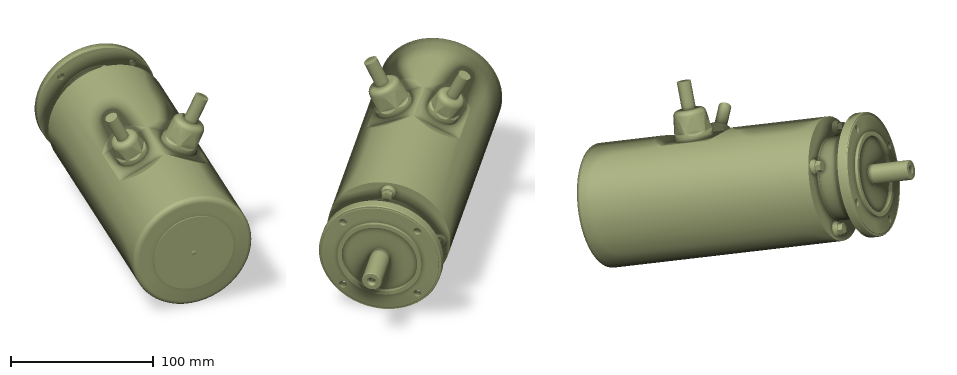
import cadquery as cq
import math

pilot_front_x = 27.2
flange_front_x = 29.5
flange_back_x = 36.2
housing_front_x = 58.8
housing_back_x = 239.5
rear_boss_back_x = 240.3
overall_length = 241.0

housing_radius = 88.0 / 2
housing_rear_fillet = 3.5
flange_radius = housing_radius
rim_groove_inner_radius = 42.0
rim_groove_outer_radius = 43.6
rim_groove_depth = 0.7
neck_radius = 59.0 / 2
neck_collar_length = 1.5
pilot_radius = 60.0 / 2
pilot_recess_radius = 54.0 / 2
pilot_recess_depth = 3.0
rear_boss_radius = neck_radius
rear_tip_radius = 3.4 / 2

shaft_radius = 14.0 / 2
shaft_chamfer = 0.5
shaft_collar_radius = 15.0 / 2
shaft_collar_height = 0.7
centre_mouth_radius = 6.7 / 2
centre_counterbore_radius = 4.5 / 2
centre_drill_radius = 3.4 / 2
centre_cone_depth = 1.7
centre_counterbore_depth = 3.5
centre_drill_depth = 9.6

flange_hole_diameter = 5.5
flange_hole_circle_radius = 75.2 / 2
screw_circle_radius = 36.5
screw_head_front_x = 51.8
screw_collar_front_x = 55.5
screw_cone_front_x = 56.2
screw_rim_front_x = 57.4
screw_head_across_flats = 6.7
screw_collar_radius = 9.0 / 2
screw_rim_radius = 10.8 / 2

gland_x = 160.0
gland_tilt = 25.0
seat_height = 40.2
seat_length = 36.2
seat_ramp_angle = 20.0

hex_ledge_height = 5.0


def revolve_about_x(outline):
    """Turn a closed (x, radius) outline around the motor axis."""
    return outline.close().revolve(360, (0, 0, 0), (1, 0, 0))


def cylinder_x(x_start, x_end, radius):
    return cq.Workplane("YZ").workplane(offset=x_start).circle(radius).extrude(x_end - x_start)


def make_shaft_blank():
    """Plain shaft with a small tip chamfer, running into the flange."""
    return cylinder_x(0, flange_back_x, shaft_radius).faces("<X").chamfer(shaft_chamfer)


def make_centre_hole():
    """Countersunk, stepped centre hole in the shaft tip."""
    drill_tip_x = centre_drill_depth + centre_drill_radius
    outline = (
        cq.Workplane("XY")
        .lineTo(0, centre_mouth_radius)
        .lineTo(centre_cone_depth, centre_counterbore_radius)
        .lineTo(centre_counterbore_depth, centre_counterbore_radius)
        .lineTo(centre_counterbore_depth, centre_drill_radius)
        .lineTo(centre_drill_depth, centre_drill_radius)
        .lineTo(drill_tip_x, 0)
    )
    return revolve_about_x(outline)


def make_housing():
    """Round housing, rear boss and small conical rear tip."""
    housing = cylinder_x(housing_front_x, housing_back_x, housing_radius)
    housing = housing.faces(">X").edges().fillet(housing_rear_fillet)
    rear_boss = cylinder_x(housing_back_x, rear_boss_back_x, rear_boss_radius)
    rear_tip = revolve_about_x(
        cq.Workplane("XY")
        .moveTo(rear_boss_back_x, 0)
        .lineTo(rear_boss_back_x, rear_tip_radius)
        .lineTo(overall_length, 0)
    )
    return housing.union(rear_boss).union(rear_tip)


def make_front_end():
    """Pilot, mounting flange and neck, with a raised collar at each end of the neck."""
    groove_floor_x = flange_front_x + rim_groove_depth
    outline = (
        cq.Workplane("XY")
        .moveTo(pilot_front_x, 0)
        .lineTo(pilot_front_x, pilot_radius)
        .lineTo(flange_front_x, pilot_radius)
        .lineTo(flange_front_x, rim_groove_inner_radius)
        .lineTo(groove_floor_x, rim_groove_inner_radius)
        .lineTo(groove_floor_x, rim_groove_outer_radius)
        .lineTo(flange_front_x, rim_groove_outer_radius)
        .lineTo(groove_floor_x, flange_radius)
        .lineTo(flange_back_x, flange_radius)
        .lineTo(flange_back_x, pilot_radius)
        .lineTo(flange_back_x + neck_collar_length, pilot_radius)
        .lineTo(flange_back_x + neck_collar_length, neck_radius)
        .lineTo(housing_front_x - neck_collar_length, neck_radius)
        .lineTo(housing_front_x - neck_collar_length, pilot_radius)
        .lineTo(housing_front_x, pilot_radius)
        .lineTo(housing_front_x, 0)
    )
    front_end = revolve_about_x(outline)
    floor_x = pilot_front_x + pilot_recess_depth
    recess = cylinder_x(pilot_front_x, floor_x, pilot_recess_radius)
    shaft_collar = cylinder_x(floor_x - shaft_collar_height, floor_x, shaft_collar_radius)
    flange_holes = (
        cq.Workplane("YZ")
        .workplane(offset=flange_front_x)
        .polarArray(flange_hole_circle_radius, 45, 360, 4)
        .circle(flange_hole_diameter / 2)
        .extrude(flange_back_x - flange_front_x)
    )
    return front_end.cut(recess).cut(flange_holes).union(shaft_collar)


def make_screw():
    """Flanged hex screw on the motor axis; a head corner points to +Y."""
    across_corners = screw_head_across_flats / math.cos(math.radians(30))
    head = (
        cq.Workplane("YZ")
        .workplane(offset=screw_head_front_x)
        .polygon(6, across_corners)
        .extrude(screw_collar_front_x - screw_head_front_x)
    )
    washer_outline = (
        cq.Workplane("XY")
        .moveTo(screw_collar_front_x, 0)
        .lineTo(screw_collar_front_x, screw_collar_radius)
        .lineTo(screw_cone_front_x, screw_collar_radius)
        .lineTo(screw_rim_front_x, screw_rim_radius)
        .lineTo(housing_front_x, screw_rim_radius)
        .lineTo(housing_front_x, 0)
    )
    return head.union(revolve_about_x(washer_outline))


def make_gland_seat_cutter():
    """Flat seat with a ramp at each end, cut across the top of the housing."""
    seat_depth = housing_radius - seat_height
    ramp_run = seat_depth / math.tan(math.radians(seat_ramp_angle))
    half_floor = seat_length / 2
    half_mouth = half_floor + ramp_run
    return (
        cq.Workplane("XZ", origin=(gland_x, 0, 0))
        .moveTo(-half_floor, seat_height)
        .lineTo(half_floor, seat_height)
        .lineTo(half_mouth, housing_radius)
        .lineTo(-half_mouth, housing_radius)
        .close()
        .extrude(housing_radius, both=True)
    )


def tilt_about_motor_axis(shape, angle):
    return shape.rotate((0, 0, 0), (1, 0, 0), angle)


def make_motor():
    """Housing, flange, shaft and screws as one solid."""
    motor = make_housing().union(make_front_end()).union(make_shaft_blank()).cut(make_centre_hole())
    screw = make_screw().translate((0, screw_circle_radius, 0))
    for angle in (0, 90, 180, 270):
        motor = motor.union(tilt_about_motor_axis(screw, angle))
    for angle in (-gland_tilt, gland_tilt):
        motor = motor.cut(tilt_about_motor_axis(make_gland_seat_cutter(), angle))
    return motor


def make_hex_flat_cutter(flat_distance, top_height):
    """Wedge that leaves one flat facing +X above a ledge sloping down at 45 degrees."""
    ledge_height = seat_height + hex_ledge_height
    ledge_run = hex_ledge_height / 2
    side = 2 * flat_distance * math.tan(math.radians(30))
    return (
        cq.Workplane("XZ")
        .moveTo(flat_distance, top_height)
        .lineTo(flat_distance, ledge_height)
        .lineTo(flat_distance + ledge_run, ledge_height - ledge_run)
        .lineTo(flat_distance + ledge_run, top_height)
        .close()
        .extrude(side / 2, both=True)
    )


def make_gland(foot_radius, crown_radius, crown_flat_radius, hex_across_flats, crown_height,
               cable_radius, cable_end_height, tilt):
    """Tapered hex gland with its cable; heights are measured from the motor axis."""
    nut_height = crown_height - seat_height
    taper = math.atan((foot_radius - crown_radius) / nut_height)
    crown_fillet = (crown_radius - crown_flat_radius) / math.tan((math.pi / 2 - taper) / 2)
    nut = (
        cq.Workplane("XY")
        .workplane(offset=seat_height)
        .circle(foot_radius)
        .workplane(offset=nut_height)
        .circle(crown_radius)
        .loft(ruled=True)
    )
    nut = nut.faces(">Z").edges().fillet(crown_fillet)
    flat_cutter = make_hex_flat_cutter(hex_across_flats / 2, crown_height)
    for angle in range(0, 360, 60):
        nut = nut.cut(flat_cutter.rotate((0, 0, 0), (0, 0, 1), angle))
    cable = (
        cq.Workplane("XY")
        .workplane(offset=seat_height)
        .circle(cable_radius)
        .extrude(cable_end_height - seat_height)
    )
    gland = nut.union(cable).translate((gland_x, 0, 0))
    return tilt_about_motor_axis(gland, tilt)


motor = make_motor()
large_gland = make_gland(
    foot_radius=14.0,
    crown_radius=11.3,
    crown_flat_radius=16.0 / 2,
    hex_across_flats=23.9,
    crown_height=61.2,
    cable_radius=10.0 / 2,
    cable_end_height=81.2,
    tilt=-gland_tilt,
)
small_gland = make_gland(
    foot_radius=12.0,
    crown_radius=9.6,
    crown_flat_radius=6.0,
    hex_across_flats=20.2,
    crown_height=58.0,
    cable_radius=9.0 / 2,
    cable_end_height=78.0,
    tilt=gland_tilt,
)

result = cq.Compound.makeCompound([motor.val(), large_gland.val(), small_gland.val()])